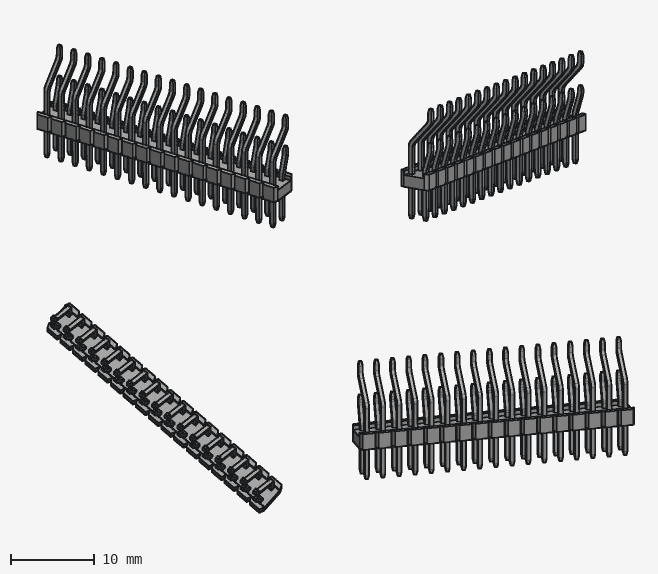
import cadquery as cq
import math

length = 34.0
depth = 4.0
total_height = 13.87
columns = 17
pitch = length / columns

housing_height = 1.97
channel_depth = 0.5
channel_width = 2.75
notch_depth = 0.5
notch_half_width = 0.25

pin_width = 0.5
tail_length = 4.0
tip_length = 0.5
tip_inset = 0.1
bend_radius = 0.95
tip_y = (depth - pin_width) / 2

front_row_y = -pitch / 2
front_row_top = total_height - tail_length
front_lower_bend = 5.2
front_upper_bend = 8.15

back_row_y = pitch / 2
back_row_top = 5.68
back_lower_bend = 2.18
back_upper_bend = 4.62

column_positions = [(i - (columns - 1) / 2) * pitch for i in range(columns)]


def make_segment(x):
    """One pitch of the housing: a block with its four upright corners chamfered."""
    half_x = pitch / 2
    half_y = depth / 2
    corners = [
        (half_x, half_y - notch_depth),
        (half_x - notch_half_width, half_y),
        (-half_x + notch_half_width, half_y),
        (-half_x, half_y - notch_depth),
    ]
    corners += [(-px, -py) for px, py in corners]
    return cq.Workplane("XY").center(x, 0).polyline(corners).close().extrude(housing_height)


def make_housing():
    """Row of segments with a shallow channel along the top."""
    housing = make_segment(column_positions[0])
    for x in column_positions[1:]:
        housing = housing.union(make_segment(x))
    channel = (
        cq.Workplane("XY")
        .workplane(offset=housing_height - channel_depth)
        .rect(length, channel_width)
        .extrude(channel_depth)
    )
    return housing.cut(channel)


def make_tip(y, z, direction):
    """Square tapered tip starting at height z; direction is 1 for up and -1 for down."""
    end_width = pin_width - 2 * tip_inset
    return (
        cq.Workplane("XY", origin=(0, y, z))
        .rect(pin_width, pin_width)
        .workplane(offset=direction * tip_length)
        .rect(end_width, end_width)
        .loft()
    )


def make_pin(row_y, lower_bend, upper_bend, top):
    """Square pin at x = 0 that rises at row_y and jogs back to tip_y between two bends."""
    half = pin_width / 2
    jog_angle = math.atan2(tip_y - row_y, upper_bend - lower_bend)
    mitre = half * math.tan(jog_angle / 2)
    tail_z = tip_length - tail_length
    head_z = top - tip_length
    outline = [
        (row_y - half, tail_z),
        (row_y - half, lower_bend + mitre),
        (tip_y - half, upper_bend + mitre),
        (tip_y - half, head_z),
        (tip_y + half, head_z),
        (tip_y + half, upper_bend - mitre),
        (row_y + half, lower_bend - mitre),
        (row_y + half, tail_z),
    ]
    shank = cq.Workplane("YZ").polyline(outline).close().extrude(half, both=True)
    bend_zone = cq.selectors.BoxSelector(
        (-pin_width, -depth, tail_z + pin_width),
        (pin_width, depth, (upper_bend + mitre + head_z) / 2),
    )
    shank = shank.edges("|X").edges(bend_zone).fillet(bend_radius)
    return shank.union(make_tip(row_y, tail_z, -1)).union(make_tip(tip_y, head_z, 1))


front_pin = make_pin(front_row_y, front_lower_bend, front_upper_bend, front_row_top)
back_pin = make_pin(back_row_y, back_lower_bend, back_upper_bend, back_row_top)

result = make_housing()
for column_x in column_positions:
    for pin in (front_pin, back_pin):
        result = result.union(pin.translate((column_x, 0, 0)))